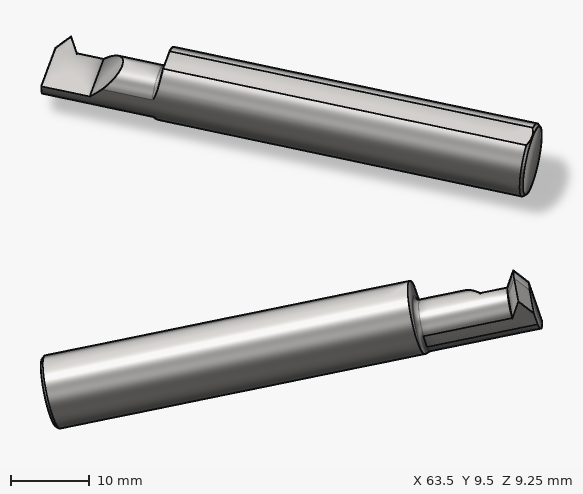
import cadquery as cq
import math

length = 63.5
shank_radius = 4.75
shank_flat_z = 4.5
shank_start = 15.2
chamfer_length = 0.4
chamfer_depth = 0.3

neck_radius = 3.35
neck_center_y = -1.5
neck_bottom_z = -3.25
cove_radius = 0.65

rake_start = 6.4

tooth_tip_y = 4.4
tooth_tip_x = 1.4
tooth_angle = 60.0
tooth_land_z = -1.1
land_setback = 0.4
neck_edge_y = neck_center_y + neck_radius
flank_slope = math.tan(math.radians(tooth_angle / 2))
tooth_end_x = tooth_tip_x + (tooth_tip_y - neck_edge_y) * flank_slope
front_corner_y = tooth_tip_y - tooth_tip_x / flank_slope


def box(x_range, y_range, z_range):
    sizes = [high - low for low, high in (x_range, y_range, z_range)]
    corner = (x_range[0], y_range[0], z_range[0])
    return cq.Workplane("XY").box(*sizes, centered=False).translate(corner)


def make_shank():
    """Round shank with a flat along its top and a chamfered rear end."""
    profile = [
        (shank_start, 0),
        (shank_start, shank_radius),
        (length - chamfer_length, shank_radius),
        (length, shank_radius - chamfer_depth),
        (length, 0),
    ]
    body = cq.Workplane("XY").polyline(profile).close().revolve(360, (0, 0), (1, 0))
    side = (-shank_radius, shank_radius)
    return body.intersect(box((0, length), side, (-shank_radius, shank_flat_z)))


def make_neck():
    """Offset neck, trimmed to the shank diameter, with a cove at the shoulder."""
    cove_start = shank_start - cove_radius
    arc_offset = cove_radius * math.sqrt(0.5)
    cove_middle = (cove_start + arc_offset, neck_radius + cove_radius - arc_offset)
    cove = (
        cq.Workplane("XY")
        .moveTo(cove_start, 0)
        .lineTo(cove_start, neck_radius)
        .threePointArc(cove_middle, (shank_start, neck_radius + cove_radius))
        .lineTo(shank_start, 0)
        .close()
        .revolve(360, (0, 0), (1, 0))
        .translate((0, neck_center_y, 0))
    )
    rod = cq.Workplane("YZ").center(neck_center_y, 0).circle(neck_radius).extrude(cove_start)
    side = (-shank_radius, shank_radius)
    rod = rod.intersect(box((0, cove_start), side, (neck_bottom_z, neck_radius)))
    envelope = cq.Workplane("YZ").circle(shank_radius).extrude(shank_start)
    return rod.union(cove).intersect(envelope)


def remove_upper_half(neck):
    """Expose the cutting face at Z = 0 and the 45 degree runout behind it."""
    profile = [
        (0, 0),
        (rake_start, 0),
        (rake_start + shank_radius, shank_radius),
        (0, shank_radius),
    ]
    cutter = cq.Workplane("XZ").polyline(profile).close().extrude(shank_radius, both=True)
    return neck.cut(cutter)


def relief_layer(top_z, bottom_z, top_setback, bottom_setback):
    """Tooth outline carried down from top_z to bottom_z while retreating in -Y."""
    root_y = -2 * shank_radius
    outline = [
        (0, root_y),
        (0, front_corner_y),
        (tooth_tip_x, tooth_tip_y),
        (tooth_end_x, neck_edge_y),
        (tooth_end_x, root_y),
    ]
    upper = [(x, y - top_setback) for x, y in outline]
    lower = [(x, y - bottom_setback) for x, y in outline]
    layer = cq.Workplane("XY", origin=(0, 0, top_z)).polyline(upper).close()
    layer = layer.workplane(offset=bottom_z - top_z).polyline(lower).close()
    return layer.loft(ruled=True, combine=True)


def make_head(neck):
    """Front end of the bar: tooth with a steep land and a 45 degree relief."""
    lower_setback = land_setback + tooth_land_z - neck_bottom_z
    land = relief_layer(0, tooth_land_z, 0, land_setback)
    relief = relief_layer(tooth_land_z, neck_bottom_z, land_setback, lower_setback)
    head_span = (0, tooth_end_x)
    tooth_room = box(head_span, (neck_center_y, shank_radius), (neck_bottom_z, 0))
    neck_end = neck.intersect(box(head_span, (-shank_radius, shank_radius), (neck_bottom_z, 0)))
    return land.union(relief).intersect(neck_end.union(tooth_room))


neck = remove_upper_half(make_neck())
head = make_head(neck)
rear_neck = neck.intersect(
    box((tooth_end_x, shank_start), (-shank_radius, shank_radius), (-shank_radius, shank_radius))
)
result = make_shank().union(rear_neck).union(head)